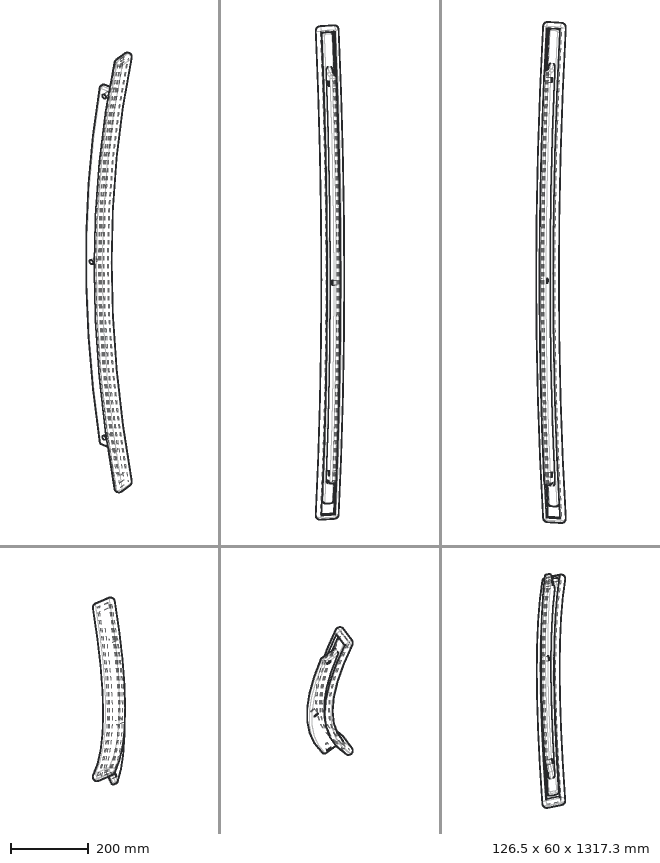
import cadquery as cq
import math

rear_radius = 3279.0

rail_length = 1317.32
rail_width = 60.0
rail_depth = 22.0
rail_corner_round = 11.5
rail_front_round = 10.0
rail_rear_round = 10.5

slot_width = 36.0
slot_depth = 14.0
slot_end_margin = 14.0

plate_width = 28.0
plate_recess = 4.0
plate_top = 643.0
plate_bottom = -614.0
plate_corner_round = 8.0
plate_edge_round = 4.0

fin_reach = 40.0
fin_width = 17.0
fin_length = 1092.0
fin_edge_round = 5.0
fin_corner_round = 8.0
fin_root_round = 16.0

hole_diameter = 12.0
hole_spacing = 520.0

overlap = 2.0

front_radius = rear_radius + rail_depth
slot_floor_radius = front_radius - slot_depth
buried_radius = slot_floor_radius - overlap
plate_radius = front_radius - plate_recess
fin_radius = front_radius + fin_reach
hole_radius = front_radius + fin_reach / 2


def arc_x(radius, z):
    """X at height z on the face of the given radius; the rear face crosses X = 0 at Z = 0."""
    return rear_radius - math.sqrt(radius**2 - z**2)


def arc_point(radius, z):
    return (arc_x(radius, z), z)


def bowed_band(outer_radius, inner_radius, bottom, top, width):
    """Band between two concentric arcs, cut level at both ends and centred on Y."""
    middle = (bottom + top) / 2
    return (
        cq.Workplane("XZ")
        .moveTo(*arc_point(outer_radius, bottom))
        .threePointArc(arc_point(outer_radius, middle), arc_point(outer_radius, top))
        .lineTo(*arc_point(inner_radius, top))
        .threePointArc(arc_point(inner_radius, middle), arc_point(inner_radius, bottom))
        .close()
        .extrude(width / 2, both=True)
    )


def round_corners(band, radius):
    """Round the corners of a band, as seen along X."""
    return band.faces("<Z or >Z").edges("<Y or >Y").fillet(radius)


def make_rail():
    """Bowed bar with rounded corners and rounded front and rear edges."""
    half = rail_length / 2
    rail = bowed_band(front_radius, rear_radius, -half, half, rail_width)
    rail = round_corners(rail, rail_corner_round)
    rail = rail.faces("<X").edges().fillet(rail_front_round)
    rear_centroid = (arc_x(rear_radius, half) / 3, 0, 0)
    rear_face = rail.faces(cq.selectors.NearestToPointSelector(rear_centroid))
    return rear_face.edges().fillet(rail_rear_round)


def rail_slot():
    """Groove along the rail front, closed at both ends."""
    half = rail_length / 2 - slot_end_margin
    return bowed_band(front_radius + overlap, slot_floor_radius, -half, half, slot_width)


def make_plate():
    """Plate lying in the slot and carrying the fin."""
    plate = bowed_band(plate_radius, buried_radius, plate_bottom, plate_top, plate_width)
    plate = round_corners(plate, plate_corner_round)
    return plate.faces("<X").edges().fillet(plate_edge_round)


def make_fin():
    """Upright fin with rounded free edges, flaring into the plate at both ends."""
    top = fin_length / 2
    root_top = top + fin_root_round
    flare_x = arc_x(plate_radius, root_top)
    flare_start_x = flare_x - fin_root_round
    flare_reach = fin_root_round * math.sqrt(0.5)
    flare_middle_x = flare_start_x + flare_reach
    flare_middle_z = root_top - flare_reach
    profile = (
        cq.Workplane("XZ")
        .moveTo(*arc_point(buried_radius, -root_top))
        .lineTo(flare_x, -root_top)
        .threePointArc((flare_middle_x, -flare_middle_z), (flare_start_x, -top))
        .lineTo(*arc_point(fin_radius, -top))
        .threePointArc(arc_point(fin_radius, 0), arc_point(fin_radius, top))
        .lineTo(flare_start_x, top)
        .threePointArc((flare_middle_x, flare_middle_z), (flare_x, root_top))
        .lineTo(*arc_point(buried_radius, root_top))
        .threePointArc(arc_point(buried_radius, 0), arc_point(buried_radius, -root_top))
        .close()
    )
    fin = profile.extrude(fin_width / 2, both=True)
    fin = fin.faces("<X").edges("|Y").fillet(fin_corner_round)
    return fin.faces("<X").edges("<Y or >Y").fillet(fin_edge_round)


def bolt_holes():
    """Three holes along Y through the fin, halfway between its front edge and the rail."""
    places = [arc_point(hole_radius, z) for z in (-hole_spacing, 0, hole_spacing)]
    return (
        cq.Workplane("XZ").pushPoints(places).circle(hole_diameter / 2).extrude(fin_width, both=True)
    )


rail = make_rail().cut(rail_slot())
result = rail.union(make_plate()).union(make_fin()).cut(bolt_holes())